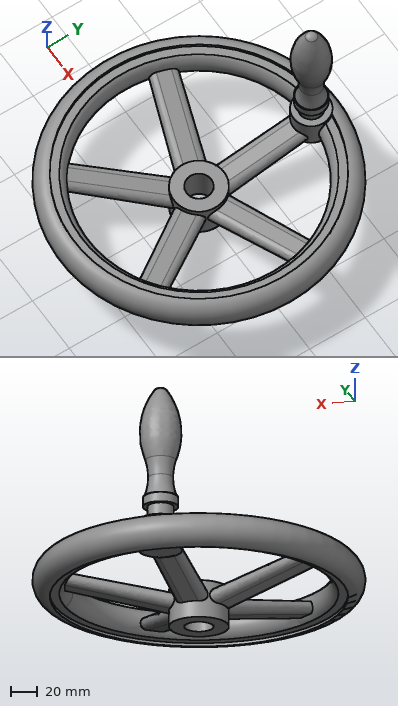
import cadquery as cq
import math

wheel_radius = 125.0
rim_height = 26.2
rim_mid_z = 37.0
rim_step = 2.5
bead_edge_radius = 104.8
rim_inner_radius = 98.8

hub_radius = 22.5
hub_top_z = 29.2
bore_radius = 11.0

spoke_count = 5
spoke_flat_width = 11.8
spoke_hub_edge = 6.8
spoke_rim_edge = 5.8
spoke_hub_thickness = 12.0
spoke_rim_thickness = 9.5
spoke_hub_z = 17.8
spoke_rim_z = 36.0
spoke_start_radius = 17.5
spoke_end_radius = 105.0

handle_y = 101.0
boss_radius = 16.0
stem_radius = 10.0
collar_radius = 13.2
collar_bottom_z = 61.0
collar_top_z = 68.5
flare_radius = 12.5
neck_radius = 9.5
neck_z = 84.2
grip_base_radius = 11.5
grip_base_z = 98.0
grip_radius = 15.8
grip_z = 119.5
tip_radius = 4.8
tip_z = 153.5
handle_top_z = 155.5

rim_half_height = rim_height / 2
rim_bottom_z = rim_mid_z - rim_half_height
rim_top_z = rim_mid_z + rim_half_height
bead_bottom_z = rim_bottom_z + rim_step
bead_top_z = rim_top_z - rim_step


def make_rim():
    crown_radius = wheel_radius - rim_half_height
    return (
        cq.Workplane("XZ")
        .moveTo(crown_radius, rim_bottom_z)
        .threePointArc((wheel_radius, rim_mid_z), (crown_radius, rim_top_z))
        .lineTo(crown_radius, bead_top_z)
        .lineTo(bead_edge_radius, bead_top_z)
        .threePointArc((rim_inner_radius, rim_mid_z), (bead_edge_radius, bead_bottom_z))
        .lineTo(crown_radius, bead_bottom_z)
        .close()
        .revolve(360, (0, 0, 0), (0, 1, 0))
    )


def spoke_section(plane, edge_width, thickness):
    """Flat top and bottom joined by half-ellipses."""
    half_flat = spoke_flat_width / 2
    half_thickness = thickness / 2
    return (
        plane.moveTo(-half_flat, -half_thickness)
        .lineTo(half_flat, -half_thickness)
        .ellipseArc(edge_width, half_thickness, -90, 90, startAtCurrent=True)
        .lineTo(-half_flat, half_thickness)
        .ellipseArc(edge_width, half_thickness, 90, 270, startAtCurrent=True)
        .wire()
    )


def make_spoke():
    """One spoke along +Y, lofted between two elliptical-edged sections."""
    run = spoke_end_radius - spoke_start_radius
    rise = spoke_rim_z - spoke_hub_z
    axis = cq.Vector(0, run, rise)
    start = cq.Plane((0, spoke_start_radius, spoke_hub_z), (1, 0, 0), axis)
    hub_end = cq.Workplane(start)
    rim_end = hub_end.workplane(offset=math.hypot(run, rise))
    hub_section = spoke_section(hub_end, spoke_hub_edge, spoke_hub_thickness)
    rim_section = spoke_section(rim_end, spoke_rim_edge, spoke_rim_thickness)
    return cq.Workplane(cq.Solid.makeLoft([hub_section.val(), rim_section.val()], True))


def make_handle():
    flare_bow = (flare_radius - neck_radius) / 4
    neck_bow = (grip_base_radius - neck_radius) / 4
    tip_height = handle_top_z - tip_z
    tip_sphere_radius = (tip_radius**2 + tip_height**2) / (2 * tip_height)
    tip_half_angle = math.asin(tip_radius / tip_sphere_radius) / 2
    tip_mid_radius = tip_sphere_radius * math.sin(tip_half_angle)
    tip_mid_z = handle_top_z - tip_sphere_radius * (1 - math.cos(tip_half_angle))
    return (
        cq.Workplane("XZ")
        .moveTo(0, bead_bottom_z)
        .lineTo(stem_radius, bead_bottom_z)
        .lineTo(stem_radius, collar_bottom_z)
        .lineTo(collar_radius, collar_bottom_z)
        .lineTo(collar_radius, collar_top_z)
        .lineTo(flare_radius, collar_top_z)
        .sagittaArc((neck_radius, neck_z), flare_bow)
        .sagittaArc((grip_base_radius, grip_base_z), neck_bow)
        .threePointArc((grip_radius, grip_z), (tip_radius, tip_z))
        .threePointArc((tip_mid_radius, tip_mid_z), (0, handle_top_z))
        .close()
        .revolve(360, (0, 0, 0), (0, 1, 0))
        .translate((0, handle_y, 0))
    )


def make_boss():
    return (
        cq.Workplane("XY", origin=(0, handle_y, bead_bottom_z))
        .circle(boss_radius)
        .extrude(rim_top_z - bead_bottom_z)
    )


hub = cq.Workplane("XY").circle(hub_radius).extrude(hub_top_z)
bore = cq.Workplane("XY").circle(bore_radius).extrude(hub_top_z)

wheel = make_rim().union(hub)
spoke = make_spoke()
for index in range(spoke_count):
    wheel = wheel.union(spoke.rotate((0, 0, 0), (0, 0, 1), index * 360 / spoke_count))

result = wheel.union(make_boss()).union(make_handle()).cut(bore)